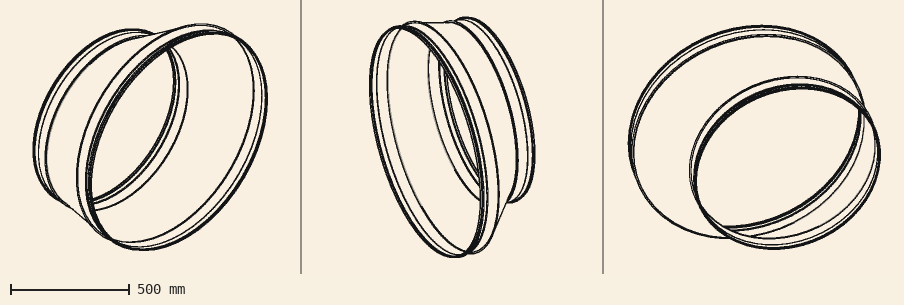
import cadquery as cq
import math


length = 367.0
large_diameter = 999.0
small_diameter = 798.0
sheet = 0.5

spigot_drop = 2.5
step_start = 32.0
step_end = 36.0
collar_length = 85.0
flange_height = 7.0
flange_thickness = 1.0
hem_length = 8.0
bend_radius = 1.0

neck_length = 5.0

gasket_length = 12.0
gasket_height = 3.0
lip_root = 10.0
lip_tip = 15.0
lip_height = 8.0
lip_thickness = 1.0

large_radius = large_diameter / 2
small_radius = small_diameter / 2
small_center_y = small_radius - large_radius
hem_gap = spigot_drop - sheet


def ring(outline, end_x, direction, center_y):
    """Place an outline of (distance from free end, radius), then revolve it about the collar's axis."""
    placed = outline(lambda distance, radius: (end_x + direction * distance, center_y + radius))
    return placed.revolve(360, (0, center_y, 0), (1, center_y, 0))


def make_collar(end_x, direction, center_y, radius):
    spigot = radius - spigot_drop
    bore = spigot - sheet
    bend_mid = bend_radius * (1 - math.sqrt(0.5))
    inner_mid = bend_radius - (bend_radius - sheet) * math.sqrt(0.5)

    def outline(at):
        return (
            cq.Workplane("XY")
            .moveTo(*at(hem_length, radius))
            .lineTo(*at(bend_radius, radius))
            .threePointArc(at(bend_mid, radius - bend_mid), at(0, radius - bend_radius))
            .lineTo(*at(0, bore + bend_radius))
            .threePointArc(at(bend_mid, bore + bend_mid), at(bend_radius, bore))
            .lineTo(*at(step_start, bore))
            .lineTo(*at(step_end, radius - sheet))
            .lineTo(*at(collar_length, radius - sheet))
            .lineTo(*at(collar_length, radius + flange_height))
            .lineTo(*at(collar_length - flange_thickness, radius + flange_height))
            .lineTo(*at(collar_length - flange_thickness, radius))
            .lineTo(*at(step_end, radius))
            .lineTo(*at(step_start, spigot))
            .lineTo(*at(bend_radius, spigot))
            .threePointArc(at(inner_mid, bore + inner_mid), at(sheet, bore + bend_radius))
            .lineTo(*at(sheet, radius - bend_radius))
            .threePointArc(at(inner_mid, radius - inner_mid), at(bend_radius, radius - sheet))
            .lineTo(*at(hem_length, radius - sheet))
            .close()
        )

    return ring(outline, end_x, direction, center_y)


def make_gasket(end_x, direction, center_y, radius):
    spigot = radius - spigot_drop

    def outline(at):
        return (
            cq.Workplane("XY")
            .moveTo(*at(bend_radius, spigot))
            .lineTo(*at(gasket_length, spigot))
            .lineTo(*at(gasket_length, spigot + gasket_height))
            .lineTo(*at(lip_tip, spigot + lip_height - lip_thickness))
            .lineTo(*at(lip_tip, spigot + lip_height))
            .lineTo(*at(lip_root, spigot + gasket_height))
            .lineTo(*at(hem_length, spigot + gasket_height))
            .lineTo(*at(hem_length, spigot + hem_gap))
            .lineTo(*at(bend_radius, spigot + hem_gap))
            .close()
        )

    return ring(outline, end_x, direction, center_y)


def cone_envelope(wall_offset):
    """Solid cone with its two necks, its wall moved inward by wall_offset."""
    start_x = collar_length
    end_x = length - collar_length
    cone_length = end_x - start_x - 2 * neck_length
    small_neck = (
        cq.Workplane("YZ", origin=(start_x, small_center_y, 0))
        .circle(small_radius - wall_offset)
        .extrude(neck_length)
    )
    large_neck = (
        cq.Workplane("YZ", origin=(end_x - neck_length, 0, 0))
        .circle(large_radius - wall_offset)
        .extrude(neck_length)
    )
    taper = (
        cq.Workplane("YZ", origin=(start_x + neck_length, small_center_y, 0))
        .circle(small_radius - wall_offset)
        .workplane(offset=cone_length)
        .center(-small_center_y, 0)
        .circle(large_radius - wall_offset)
        .loft(ruled=True)
    )
    return taper.union(small_neck).union(large_neck)


cone = cone_envelope(0).cut(cone_envelope(sheet))

duct_ends = [
    (0, 1, small_center_y, small_radius),
    (length, -1, 0, large_radius),
]
collars = [make_collar(*duct_end) for duct_end in duct_ends]
gaskets = [make_gasket(*duct_end) for duct_end in duct_ends]

result = cq.Compound.makeCompound(
    [cone.val()] + [collar.val() for collar in collars] + [gasket.val() for gasket in gaskets]
)